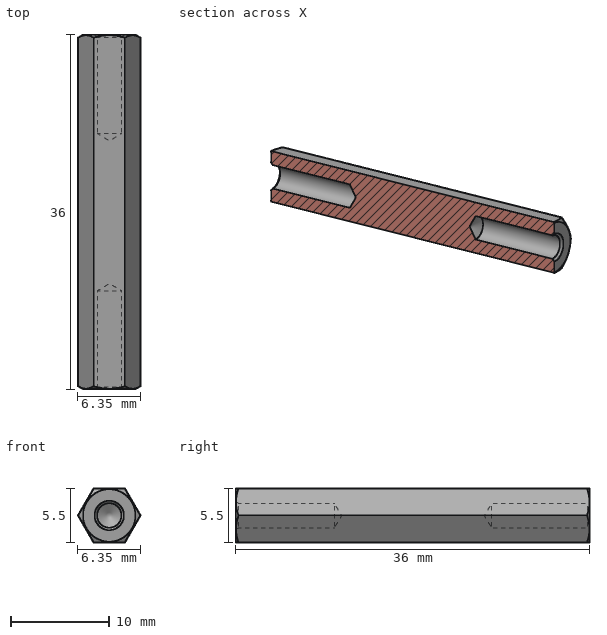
import cadquery as cq
import math

length = 36.0
across_flats = 5.5
across_corners = across_flats / math.cos(math.radians(30))

face_diameter = 5.33
chamfer_angle = 30.0
chamfer_radial = (across_corners - face_diameter) / 2
chamfer_length = chamfer_radial * math.tan(math.radians(chamfer_angle))

hole_diameter = 2.5
mouth_diameter = 3.0
hole_depth = 10.0
drill_point_angle = 118.0
countersink_depth = (mouth_diameter - hole_diameter) / 2
drill_point_length = hole_diameter / 2 / math.tan(math.radians(drill_point_angle / 2))


def hexagonal_bar():
    """Hexagon prism centred on the origin, with flats facing +Z and -Z."""
    return cq.Workplane("XZ").polygon(6, across_corners).extrude(length / 2, both=True)


def chamfer_envelope():
    """Round bar with coned ends that meets the hexagon only at its end corners."""
    return (
        cq.Workplane("XY")
        .moveTo(0, -length / 2)
        .lineTo(face_diameter / 2, -length / 2)
        .lineTo(across_corners / 2, -length / 2 + chamfer_length)
        .lineTo(across_corners / 2, length / 2 - chamfer_length)
        .lineTo(face_diameter / 2, length / 2)
        .lineTo(0, length / 2)
        .close()
        .revolve(360, (0, 0, 0), (0, 1, 0))
    )


def blind_hole():
    """Cutter for the hole that opens at the -Y end."""
    mouth = -length / 2
    return (
        cq.Workplane("XY")
        .moveTo(0, mouth)
        .lineTo(mouth_diameter / 2, mouth)
        .lineTo(hole_diameter / 2, mouth + countersink_depth)
        .lineTo(hole_diameter / 2, mouth + hole_depth)
        .lineTo(0, mouth + hole_depth + drill_point_length)
        .close()
        .revolve(360, (0, 0, 0), (0, 1, 0))
    )


front_hole = blind_hole()
back_hole = front_hole.mirror("XZ")
result = hexagonal_bar().intersect(chamfer_envelope()).cut(front_hole).cut(back_hole)